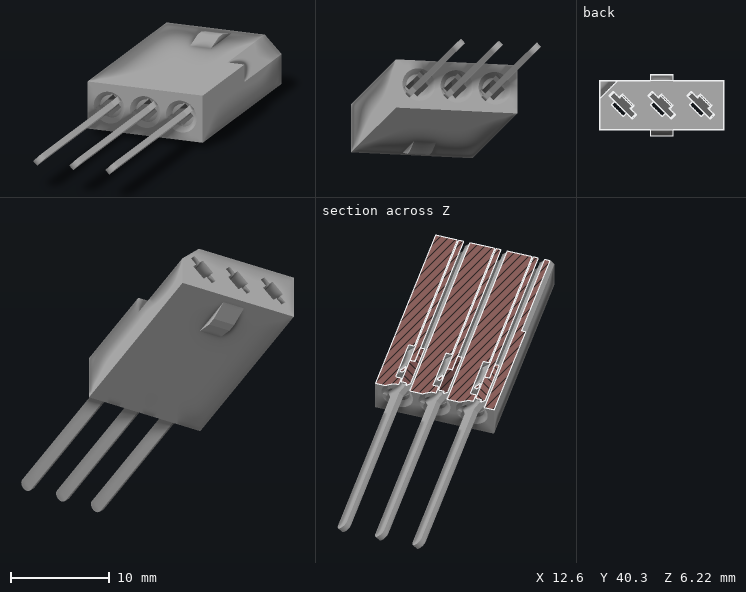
import cadquery as cq
import math

pin_count = 3
pitch = 3.94

body_width = 12.57
body_length = 21.17
body_height = 5.0

key_chamfer = 1.85
key_length = 10.0

latch_width = 2.3
latch_height = 0.61
latch_rear_gap = 1.0
latch_rear_ramp = 2.2
latch_flat = 1.05
latch_front_ramp = 2.1

roll_angle = 45.0
stock = 0.6
tail_width = 1.36
tail_reach = 19.12
shoulder_lead = 0.15
shoulder_angle = 38.0
plate_width = 3.1
plate_end = 6.0
wing_outer_width = 2.64
wing_stock = 0.5
wing_top = 0.88
wing_end = 4.0
lance_width = 1.54
lance_stock = 0.3
lance_radius = 4.6
lance_root = 4.5
lance_lift = 0.6

mouth_radius = 1.68
throat_radius = 1.18
bore_width = 1.66
bore_height = 1.54
slot_width = 3.34
throat_wall_end = 1.5

half_stock = stock / 2
tail_radius = tail_width / 2
mouth_depth = mouth_radius - throat_radius
shoulder_step = (plate_width - tail_width) / 2
shoulder_end = shoulder_step / math.tan(math.radians(shoulder_angle)) - shoulder_lead
lance_angle = math.acos(1 - lance_lift / lance_radius)
lance_center_z = half_stock + lance_radius
lance_pocket_top = half_stock + lance_lift + lance_stock
pin_places = [(i - (pin_count - 1) / 2) * pitch for i in range(pin_count)]


def box(x_range, y_range, z_range):
    """Axis-aligned box between the given limits."""
    sizes = [high - low for low, high in (x_range, y_range, z_range)]
    corner = (x_range[0], y_range[0], z_range[0])
    return cq.Workplane("XY").box(*sizes, centered=False).translate(corner)


def centered_box(width, y_range, z_range):
    """Box that is symmetric about X = 0."""
    return box((-width / 2, width / 2), y_range, z_range)


def install(shape, x):
    """Roll a flat-lying shape about Y and move it to its place along X."""
    return shape.rotate((0, 0, 0), (0, 1, 0), -roll_angle).translate((x, 0, 0))


def wings(front):
    """Two upright walls along the plate, from the given front to the wing end."""
    outer = wing_outer_width / 2
    inner = outer - wing_stock
    right = box((inner, outer), (front, wing_end), (0, wing_top))
    return right.union(right.mirror("YZ"))


def tail_and_plate():
    """Round-nosed tail that widens through sloping shoulders into the plate."""
    nose_start = -tail_reach + tail_radius
    plate_edge = plate_width / 2
    return (
        cq.Workplane("XY")
        .moveTo(-tail_radius, nose_start)
        .threePointArc((0, -tail_reach), (tail_radius, nose_start))
        .lineTo(tail_radius, -shoulder_lead)
        .lineTo(plate_edge, shoulder_end)
        .lineTo(plate_edge, plate_end)
        .lineTo(-plate_edge, plate_end)
        .lineTo(-plate_edge, shoulder_end)
        .lineTo(-tail_radius, -shoulder_lead)
        .close()
        .extrude(half_stock, both=True)
    )


def lance_point(radius, angle):
    """Point (Y, Z) on an arc about the lance bend centre, swept forward from the root."""
    return (lance_root - radius * math.sin(angle), lance_center_z - radius * math.cos(angle))


def lance():
    """Curved locking tongue that leaves the plate at its root and rises toward the front."""
    inner_radius = lance_radius - lance_stock
    return (
        cq.Workplane("YZ")
        .moveTo(*lance_point(lance_radius, 0))
        .threePointArc(lance_point(lance_radius, lance_angle / 2), lance_point(lance_radius, lance_angle))
        .lineTo(*lance_point(inner_radius, lance_angle))
        .threePointArc(lance_point(inner_radius, lance_angle / 2), lance_point(inner_radius, 0))
        .lineTo(plate_end, half_stock + lance_stock)
        .lineTo(plate_end, half_stock)
        .close()
        .extrude(lance_width / 2, both=True)
    )


def make_terminal(x):
    flat = tail_and_plate().union(wings(shoulder_end)).union(lance())
    return install(flat, x)


def mouth():
    """Conical lead-in at the front face."""
    return (
        cq.Workplane("XY")
        .polyline([(0, 0), (mouth_radius, 0), (throat_radius, mouth_depth), (0, mouth_depth)])
        .close()
        .revolve(360, (0, 0, 0), (0, 1, 0))
    )


def cavity():
    """Space for one lying-flat terminal: mouth, bore, plate slot, wing slots and lance pocket."""
    through = (0, body_length)
    bore = centered_box(bore_width, through, (-bore_height / 2, bore_height / 2))
    plate_slot = centered_box(slot_width, through, (-half_stock, half_stock))
    lance_pocket = centered_box(bore_width, (throat_wall_end, plate_end), (0, lance_pocket_top))
    return mouth().union(bore).union(plate_slot).union(lance_pocket).union(wings(0))


def latch():
    """Bump on the top face with a ramp on each side of a flat crest."""
    face = body_height / 2
    crest = face + latch_height
    rear_foot = body_length - latch_rear_gap
    rear_crest = rear_foot - latch_rear_ramp
    front_crest = rear_crest - latch_flat
    front_foot = front_crest - latch_front_ramp
    return (
        cq.Workplane("YZ")
        .moveTo(rear_foot, 0)
        .lineTo(rear_foot, face)
        .lineTo(rear_crest, crest)
        .lineTo(front_crest, crest)
        .lineTo(front_foot, face)
        .lineTo(front_foot, 0)
        .close()
        .extrude(latch_width / 2, both=True)
    )


def key_cut():
    """Triangular prism removed from the rear of the upper +X edge."""
    side = body_width / 2
    top = body_height / 2
    return (
        cq.Workplane("XZ", origin=(0, body_length, 0))
        .polyline([(side - key_chamfer, top), (side, top), (side, top - key_chamfer)])
        .close()
        .extrude(key_length)
    )


def make_housing():
    block = centered_box(body_width, (0, body_length), (-body_height / 2, body_height / 2))
    block = block.cut(key_cut()).union(latch()).union(latch().mirror("XY"))
    for x in pin_places:
        block = block.cut(install(cavity(), x))
    return block


housing = make_housing()
terminals = [make_terminal(x) for x in pin_places]
result = cq.Compound.makeCompound([housing.val(), *[terminal.val() for terminal in terminals]])